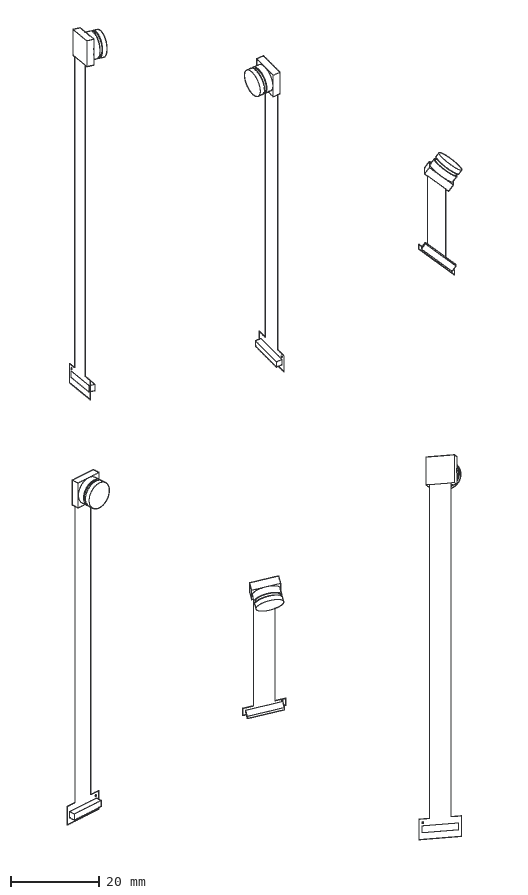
import cadquery as cq
import math

total_height = 89.8
total_depth = 5.6

flex_thickness = 0.1
flex_width = 5.1
foot_width = 10.1
foot_height = 4.85

mark_diameter = 0.4
mark_inset = 0.9

connector_width = 8.7
connector_height = 1.6
connector_back = 1.6
connector_bottom = 1.6

housing_width = 6.8
housing_height = 6.55
housing_depth = 1.9

barrel_radius = housing_height / 2
barrel_center_z = total_height - housing_height / 2
groove_radius = 3.0
groove_start = 3.5
groove_end = 4.1
rim_end = 5.3
lens_radius = 2.6


def box(width, front, back, bottom, top):
    """Block centred on X, between the given Y and Z limits."""
    return cq.Workplane("XY").box(
        width, back - front, top - bottom, centered=(True, False, False)
    ).translate((0, front, bottom))


def make_flex():
    cable = box(flex_width, 0, flex_thickness, 0, total_height)
    foot = box(foot_width, 0, flex_thickness, 0, foot_height)
    mark = (
        cq.Workplane("XZ")
        .center(-foot_width / 2 + mark_inset, foot_height - mark_inset)
        .circle(mark_diameter / 2)
        .extrude(-flex_thickness)
    )
    return cable.union(foot).cut(mark)


def make_barrel():
    profile = [
        (0, 0),
        (barrel_radius, 0),
        (barrel_radius, groove_start),
        (groove_radius, groove_start),
        (groove_radius, groove_end),
        (barrel_radius, groove_end),
        (barrel_radius, rim_end),
        (lens_radius, rim_end),
    ]
    dome_rise = total_depth - rim_end
    dome_radius = (lens_radius**2 + dome_rise**2) / (2 * dome_rise)
    mid_radius = lens_radius / 2
    mid_depth = total_depth - dome_radius + math.sqrt(dome_radius**2 - mid_radius**2)
    outline = cq.Workplane("XY").polyline(profile)
    outline = outline.threePointArc((mid_radius, mid_depth), (0, total_depth)).close()
    barrel = outline.revolve(360, (0, 0), (0, 1))
    return barrel.translate((0, 0, barrel_center_z))


housing = box(housing_width, 0, housing_depth, total_height - housing_height, total_height)
connector = box(
    connector_width,
    flex_thickness,
    connector_back,
    connector_bottom,
    connector_bottom + connector_height,
)
result = make_flex().union(connector).union(housing).union(make_barrel())